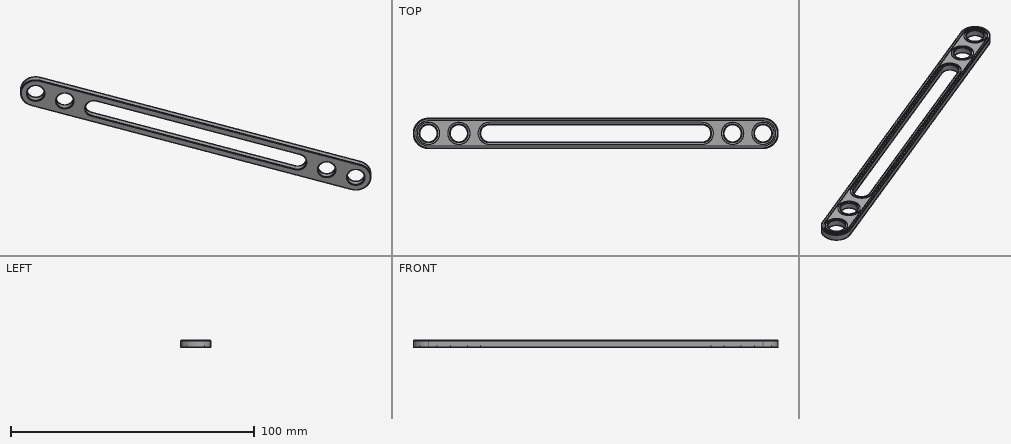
import cadquery as cq

length = 150.0
pitch = length / 12
thickness = 3.2
edge_chamfer = 0.3

bore_diameter = 7.0

bore_rim_diameter = 9.2
rim_width = (bore_rim_diameter - bore_diameter) / 2
recess_depth = 0.3

end_hole_x = (length - pitch) / 2
inner_hole_x = end_hole_x - pitch
slot_end_x = inner_hole_x - pitch
hole_centers = [(side * x, 0) for side in (-1, 1) for x in (inner_hole_x, end_hole_x)]


def bore_prisms(diameter, bottom, height):
    """Upright prisms of the given width at the four holes and the slot."""
    plane = cq.Workplane("XY").workplane(offset=bottom)
    holes = plane.pushPoints(hole_centers).circle(diameter / 2).extrude(height)
    slot = plane.slot2D(2 * slot_end_x + diameter, diameter).extrude(height)
    return holes.union(slot)


def make_bar():
    """Bar with its holes and slot, every edge of both flat faces chamfered."""
    blank = cq.Workplane("XY").slot2D(length, pitch).extrude(thickness)
    drilled = blank.cut(bore_prisms(bore_diameter, 0, thickness))
    return drilled.faces("<Z or >Z").edges().chamfer(edge_chamfer)


def make_top_recess():
    """Shallow field on the top face that leaves the rims standing."""
    bottom = thickness - recess_depth
    plane = cq.Workplane("XY").workplane(offset=bottom)
    field = plane.slot2D(length - 2 * rim_width, pitch - 2 * rim_width).extrude(recess_depth)
    return field.cut(bore_prisms(bore_rim_diameter, bottom, recess_depth))


result = make_bar().cut(make_top_recess())